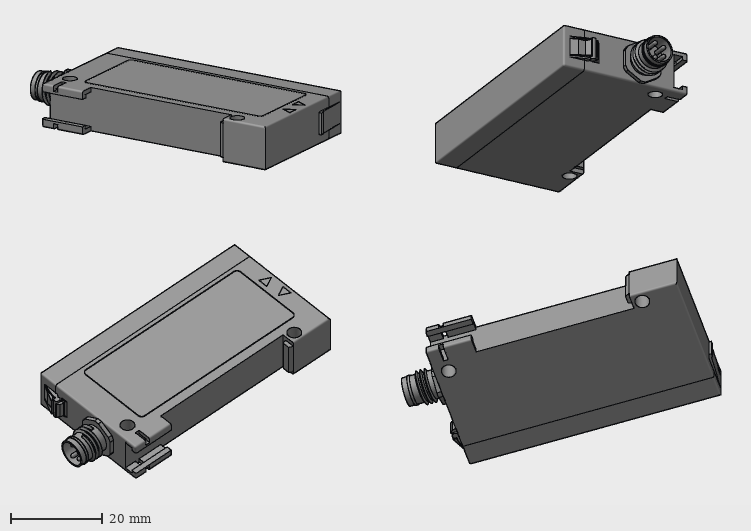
import cadquery as cq
import math


length = 58.1
depth = 31.1
thickness = 10.0
half_thickness = thickness / 2
edge_radius = 0.5
cover_split_y = 26.0

notch_y = 3.45
prong_end_x = 10.6
block_start_x = 47.1
prong_gap_half = 3.15
prong_groove_half = 4.0
prong_lip_y = 1.35
slit_x = 3.6
slit_width = 1.1
slit_depth = 1.3
lug_reach = 1.0
lug_end_y = 2.5
lug_radius = 0.4
lug_chamfer = 0.55

mount_hole_diameter = 3.2
mount_hole_centers = [(3.3, 6.3), (49.35, 2.3)]

label_x = (7.1, 53.25)
label_y = (5.9, 25.0)
label_radius = 1.0
label_thickness = 0.2
arrow_x = (54.5, 57.05)
arrow_half_width = 1.3
arrow_right_y = 18.05
arrow_left_y = 13.0
arrow_depth = 0.1

latch_width = 5.05
latch_ramp_width = 4.25
latch_recess_width = 3.85
latch_top_y = 29.55
latch_reach = 1.95
latch_tip_y = 25.05
latch_tip_height = 0.4
latch_base_reach = 1.0
latch_base_shoulder_y = 25.9
latch_base_end_y = 24.8
latch_recess_floor = 0.7
latch_recess_y = (26.05, 27.9)
latch_recess_lip_y = 25.25
latch_bar_x = (-1.8, -0.4)
latch_bar_y = (23.8, 25.05)
latch_bar_radius = 0.6
latch_lip_width = 3.9
latch_lip_y = (22.95, 23.9)
latch_lip_edge_height = 0.3
latch_lip_foot = 0.7
latch_lip_bulge = 0.15
bump_width = 4.85
bump_height = 0.3
bump_base_y = (22.35, 24.05)
bump_top_y = (22.9, 23.8)

lever_width = 5.05
lever_top_y = 30.5
lever_end_y = 21.55
lever_mid_thickness = 0.4
lever_end_thickness = 0.6
lever_reach = 0.9
lever_hook_height = 0.9

connector_y = 11.7
connector_length = 8.35
barrel_diameter = 6.5
socket_diameter = 5.8
socket_depth = 4.05
nut_across_flats = 8.95
nut_corner_diameter = 9.7
nut_thickness = 1.0
ring_diameter = 6.9
ring_start = 1.3
ring_width = 0.6
thread_diameter = 7.9
thread_pitch = 1.0
thread_turns = 3
thread_start_x = -5.1
thread_base_width = 0.8
thread_root_overlap = 0.15
pin_diameter = 1.0
pin_length = 3.65
pin_offsets = [(0.6, 1.75), (-1.5, 1.1), (-1.5, -1.1), (0.6, -1.75)]


def box(x_range, y_range, z_range):
    """Box between pairs of limits along X, Y and Z."""
    size = [high - low for low, high in (x_range, y_range, z_range)]
    corner = (x_range[0], y_range[0], z_range[0])
    return cq.Workplane("XY").box(*size, centered=False).translate(corner)


def slab(points, width):
    """XY outline extruded to a width centred on Z = 0."""
    return cq.Workplane("XY").polyline(points).close().extrude(width / 2, both=True)


def disc(diameter, x_start, x_end):
    """Cylinder along X on the connector axis."""
    return (
        cq.Workplane("YZ", origin=(x_start, connector_y, 0))
        .circle(diameter / 2)
        .extrude(x_end - x_start)
    )


def make_enclosure():
    """Housing and cover outline as one rounded block with the rail notch open."""
    block = box((0, length), (0, depth), (-half_thickness, half_thickness))
    block = block.edges("|Z and <X").fillet(edge_radius)
    block = block.faces("<Z or >Z").edges().fillet(edge_radius)
    notch = box((prong_end_x, block_start_x), (0, notch_y), (-half_thickness, half_thickness))
    return block.cut(notch)


def cover_space():
    """Part of the enclosure that belongs to the cover."""
    return box((0, length), (cover_split_y, depth), (-half_thickness, half_thickness))


def cut_prongs(body):
    """Open the corner into two prongs with an undercut groove and a slit in each."""
    gap = box((0, prong_end_x), (0, notch_y), (-prong_gap_half, prong_gap_half))
    groove = box((0, prong_end_x), (prong_lip_y, notch_y), (-prong_groove_half, prong_groove_half))
    body = body.cut(gap).cut(groove)
    slit_limits = (slit_x - slit_width / 2, slit_x + slit_width / 2)
    slit_floor = half_thickness - slit_depth
    upper_slit = box(slit_limits, (0, notch_y), (slit_floor, half_thickness))
    return body.cut(upper_slit).cut(upper_slit.mirror("XY"))


def make_lug():
    """Rail lug on the end block, sloped on the mounting side and rounded on the other."""
    free_x = block_start_x - lug_reach
    points = [(block_start_x, 0), (free_x, lug_chamfer), (free_x, lug_end_y), (block_start_x, lug_end_y)]
    lug = slab(points, 2 * prong_groove_half)
    return lug.edges(cq.selectors.NearestToPointSelector((free_x, lug_end_y, 0))).fillet(lug_radius)


def make_bump():
    """Catch for the latch on the connector face."""
    points = [
        (0, bump_base_y[1]),
        (-bump_height, bump_top_y[1]),
        (-bump_height, bump_top_y[0]),
        (0, bump_base_y[0]),
    ]
    return slab(points, bump_width)


def make_label():
    """Rounded plate set flush into the upper face."""
    plate = box(label_x, label_y, (half_thickness - label_thickness, half_thickness))
    return plate.edges("|Z").fillet(label_radius)


def arrow_mark(base_x, tip_x, center_y):
    """Triangular recess with its base and tip at the given X positions."""
    points = [
        (base_x, center_y - arrow_half_width),
        (tip_x, center_y),
        (base_x, center_y + arrow_half_width),
    ]
    upper_face = cq.Workplane("XY", origin=(0, 0, half_thickness))
    return upper_face.polyline(points).close().extrude(-arrow_depth)


def make_housing(enclosure):
    body = cut_prongs(enclosure.cut(cover_space()))
    body = body.union(make_lug()).union(make_bump())
    holes = (
        cq.Workplane("XY")
        .pushPoints(mount_hole_centers)
        .circle(mount_hole_diameter / 2)
        .extrude(half_thickness, both=True)
    )
    body = body.cut(holes).cut(make_label())
    body = body.cut(arrow_mark(arrow_x[0], arrow_x[1], arrow_right_y))
    return body.cut(arrow_mark(arrow_x[1], arrow_x[0], arrow_left_y))


def make_latch():
    """Ramp with a recessed middle, cross bar and finger lip."""
    back_x = latch_bar_x[1]
    base_outline = [
        (0, latch_top_y),
        (-latch_base_reach, latch_base_shoulder_y),
        (-latch_base_reach, latch_base_end_y),
        (back_x, latch_base_end_y),
        (0, latch_tip_y + latch_tip_height),
    ]
    ramp_outline = [
        (0, latch_top_y),
        (-latch_reach, latch_tip_y + latch_tip_height),
        (-latch_reach, latch_tip_y),
        (0, latch_tip_y + latch_tip_height),
    ]
    recess_outline = [
        (0, latch_top_y),
        (-latch_recess_floor, latch_recess_y[1]),
        (-latch_recess_floor, latch_recess_y[0]),
        (-latch_reach, latch_recess_lip_y),
        (-latch_reach, latch_top_y),
    ]
    lip_edge_y = latch_lip_y[1] - latch_lip_edge_height
    lip_outline = [
        (back_x, latch_lip_y[1]),
        (-latch_reach, latch_lip_y[1]),
        (-latch_reach, lip_edge_y),
        (-(latch_reach + latch_lip_foot) / 2, (latch_lip_y[0] + lip_edge_y) / 2 - latch_lip_bulge),
        (-latch_lip_foot, latch_lip_y[0]),
        (back_x, latch_lip_y[0]),
    ]
    base = slab(base_outline, latch_width)
    ramp = slab(ramp_outline, latch_ramp_width)
    recess = slab(recess_outline, latch_recess_width)
    lip = slab(lip_outline, latch_lip_width)
    bar = box(latch_bar_x, latch_bar_y, (-latch_width / 2, latch_width / 2))
    bar = bar.edges("|Z").fillet(latch_bar_radius)
    return base.union(ramp).cut(recess).union(bar).union(lip)


def make_lever():
    """Tapered lever on the far end face, ending in an outward hook."""
    hook_y = lever_end_y + lever_hook_height
    points = [
        (length, lever_top_y),
        (length + lever_mid_thickness, cover_split_y),
        (length + lever_end_thickness, hook_y),
        (length + lever_reach, hook_y),
        (length + lever_reach, lever_end_y),
        (length + lever_end_thickness / 2, lever_end_y),
        (length, hook_y),
    ]
    return slab(points, lever_width)


def make_cover(enclosure):
    return enclosure.intersect(cover_space()).union(make_latch()).union(make_lever())


def make_thread():
    """Helical ridge of triangular section around the barrel."""
    root_radius = barrel_diameter / 2 - thread_root_overlap
    center = cq.Vector(thread_start_x, connector_y, 0)
    helix = cq.Wire.makeHelix(
        thread_pitch, thread_pitch * thread_turns, root_radius, center, cq.Vector(1, 0, 0)
    )
    start = helix.startPoint()
    outward = (start - center).normalized()
    section_plane = cq.Plane(origin=start, xDir=(1, 0, 0), normal=cq.Vector(1, 0, 0).cross(outward))
    return (
        cq.Workplane(section_plane)
        .polyline([
            (-thread_base_width / 2, 0),
            (thread_base_width / 2, 0),
            (0, thread_diameter / 2 - root_radius),
        ])
        .close()
        .sweep(cq.Workplane(obj=helix), isFrenet=True)
    )


def make_pin(y_offset, z_offset):
    """Contact pin with a domed tip, standing on the socket floor."""
    floor = (socket_depth - connector_length, connector_y + y_offset, z_offset)
    radius = pin_diameter / 2
    shank_length = pin_length - radius
    shank = cq.Workplane("YZ", origin=floor).circle(radius).extrude(-shank_length)
    dome = cq.Workplane("YZ", origin=floor).sphere(radius).translate((-shank_length, 0, 0))
    return shank.union(dome)


def make_connector():
    barrel = disc(barrel_diameter, -connector_length, 0)
    ring_x = ring_start - connector_length
    ring = disc(ring_diameter, ring_x, ring_x + ring_width)
    hexagon = (
        cq.Workplane("YZ", origin=(-nut_thickness, connector_y, 0))
        .transformed(rotate=(0, 0, 90))
        .polygon(6, nut_across_flats / math.cos(math.pi / 6))
        .extrude(nut_thickness)
    )
    nut = hexagon.intersect(disc(nut_corner_diameter, -nut_thickness, 0))
    socket = disc(socket_diameter, -connector_length, socket_depth - connector_length)
    body = barrel.union(ring).union(make_thread()).union(nut).cut(socket)
    for y_offset, z_offset in pin_offsets:
        body = body.union(make_pin(y_offset, z_offset))
    return body


enclosure = make_enclosure()
housing = make_housing(enclosure)
cover = make_cover(enclosure)
label = make_label()
connector = make_connector()

result = cq.Compound.makeCompound([housing.val(), cover.val(), label.val(), connector.val()])